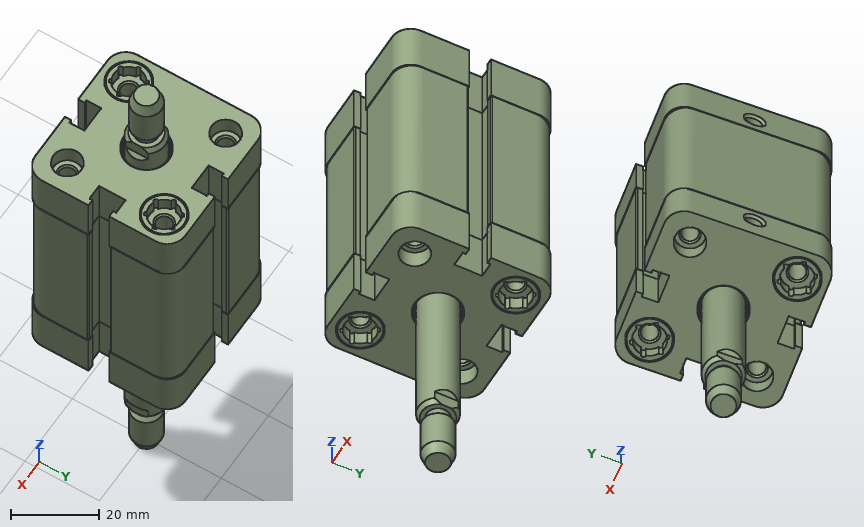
import cadquery as cq
import math


CAP_WIDTH = 40.3
BARREL_WIDTH = 40.0
BODY_HEIGHT = 68.9
CAP_HEIGHT = 12.5
BARREL_HEIGHT = BODY_HEIGHT - 2 * CAP_HEIGHT
CAP_CORNER_RADIUS = 4.9
BARREL_CORNER_RADIUS = 5.3

SLOT_DEPTH = 5.7
SLOT_LIP = 1.7
SLOT_INNER_WIDTH = 7.2
CAP_SLOT_MOUTH = 5.6
BARREL_SLOT_MOUTH = 5.7
BARREL_MOUTH_CHAMFER = 0.36
SLOT_DIRECTIONS = (0, 90, -90)

ROD_DIAMETER = 10.0
ROD_TOP_LENGTH = 22.0
ROD_BOTTOM_LENGTH = 52.0
THREAD_DIAMETER = 8.0
NECK_DIAMETER = 5.9
TIP_CHAMFER_LENGTH = 2.9
THREAD_END = 12.6
NECK_END = 15.5
SHOULDER_CHAMFER_LENGTH = 1.3
SHOULDER_CHAMFER_WIDTH = 0.9
FLAT_END = 18.9
FLATS_ACROSS = 8.0

ROD_RECESS_DIAMETER = 11.5
ROD_RECESS_RIM = 12.0
ROD_RECESS_DEPTH = 1.5
ROD_SEAT_DIAMETER = 10.5
ROD_SEAT_RIM = 10.9
ROD_SEAT_DEPTH = 1.5

CORNER_OFFSET = 13.0
CORE_DIAMETER = 4.1
CORE_RIM = 5.0
COUNTERBORE_DIAMETER = 7.5
COUNTERBORE_DEPTH = 4.7

HEAD_DIAMETER = 10.5
HEAD_POCKET_DIAMETER = 11.2
HEAD_GROOVE_DEPTH = 1.5
SOCKET_DIAMETER = 8.0
SOCKET_DEPTH = 3.6
LOBE_COUNT = 6
LOBE_DIAMETER = 1.1

PORT_DIAMETER = 4.1
PORT_RIM = 5.5
PORT_DEPTH = 10.0
PORT_FROM_END = 7.5


def cylinder(diameter, height, x=0, y=0, z=0):
    return cq.Workplane("XY", origin=(x, y, z)).circle(diameter / 2).extrude(height)


def countersunk_hole(diameter, rim, depth):
    """Cutter going down from the origin, with a 45 degree countersink at its mouth."""
    sink = (rim - diameter) / 2
    outline = [
        (0, 0),
        (rim / 2, 0),
        (diameter / 2, -sink),
        (diameter / 2, -depth),
        (0, -depth),
    ]
    return cq.Workplane("XZ").polyline(outline).close().revolve(360, (0, 0), (0, 1))


def slotted_block(width, height, corner_radius, mouth_width):
    """Square block with rounded upright edges and a T-slot in its +X, +Y and -Y faces."""
    block = cq.Workplane("XY").rect(width, width).extrude(height)
    block = block.edges("|Z").fillet(corner_radius)
    face = CAP_WIDTH / 2
    inner_depth = SLOT_DEPTH - SLOT_LIP
    mouth = cq.Workplane("XY").center(face - SLOT_DEPTH / 2, 0).rect(SLOT_DEPTH, mouth_width)
    inner = cq.Workplane("XY").center(face - SLOT_DEPTH + inner_depth / 2, 0)
    slot = mouth.extrude(height).union(inner.rect(inner_depth, SLOT_INNER_WIDTH).extrude(height))
    for angle in SLOT_DIRECTIONS:
        block = block.cut(slot.rotate((0, 0, 0), (0, 0, 1), angle))
    return block


def plain_corner_cutter():
    """Counterbored corner hole, its mouth at the origin."""
    core = countersunk_hole(CORE_DIAMETER, CORE_RIM, CAP_HEIGHT - COUNTERBORE_DEPTH)
    counterbore = cylinder(COUNTERBORE_DIAMETER, -COUNTERBORE_DEPTH)
    return counterbore.union(core.translate((0, 0, -COUNTERBORE_DEPTH)))


def collar_corner_cutter():
    """Groove around a collar head, its lobed socket and the hole below, the mouth at the origin."""
    groove = cylinder(HEAD_POCKET_DIAMETER, -HEAD_GROOVE_DEPTH)
    groove = groove.cut(cylinder(HEAD_DIAMETER, -HEAD_GROOVE_DEPTH))
    socket = cylinder(SOCKET_DIAMETER, -SOCKET_DEPTH)
    for i in range(LOBE_COUNT):
        angle = 2 * math.pi * i / LOBE_COUNT
        x = SOCKET_DIAMETER / 2 * math.cos(angle)
        y = SOCKET_DIAMETER / 2 * math.sin(angle)
        socket = socket.union(cylinder(LOBE_DIAMETER, -SOCKET_DEPTH, x, y))
    core = countersunk_hole(CORE_DIAMETER, CORE_RIM, CAP_HEIGHT - SOCKET_DEPTH)
    return groove.union(socket).union(core.translate((0, 0, -SOCKET_DEPTH)))


def make_cap():
    """End cap standing on z = 0 with its outer face up."""
    cap = slotted_block(CAP_WIDTH, CAP_HEIGHT, CAP_CORNER_RADIUS, CAP_SLOT_MOUTH)

    cap = cap.cut(cylinder(ROD_DIAMETER, CAP_HEIGHT))
    recess = countersunk_hole(ROD_RECESS_DIAMETER, ROD_RECESS_RIM, ROD_RECESS_DEPTH)
    cap = cap.cut(recess.translate((0, 0, CAP_HEIGHT)))
    seat = countersunk_hole(ROD_SEAT_DIAMETER, ROD_SEAT_RIM, ROD_SEAT_DEPTH)
    cap = cap.cut(seat.translate((0, 0, CAP_HEIGHT - ROD_RECESS_DEPTH)))

    for side in (-1, 1):
        x = side * CORNER_OFFSET
        cap = cap.cut(collar_corner_cutter().translate((x, x, CAP_HEIGHT)))
        cap = cap.cut(plain_corner_cutter().translate((x, -x, CAP_HEIGHT)))

    port = countersunk_hole(PORT_DIAMETER, PORT_RIM, PORT_DEPTH)
    port = port.rotate((0, 0, 0), (0, 1, 0), -90)
    return cap.cut(port.translate((-CAP_WIDTH / 2, 0, CAP_HEIGHT - PORT_FROM_END)))


def make_barrel():
    barrel = slotted_block(BARREL_WIDTH, BARREL_HEIGHT, BARREL_CORNER_RADIUS, BARREL_SLOT_MOUTH)
    barrel = barrel.cut(cylinder(ROD_DIAMETER, BARREL_HEIGHT))

    face = BARREL_WIDTH / 2
    half_mouth = BARREL_SLOT_MOUTH / 2
    wedge_outline = [
        (face - BARREL_MOUTH_CHAMFER, half_mouth),
        (face, half_mouth + BARREL_MOUTH_CHAMFER),
        (face, -half_mouth - BARREL_MOUTH_CHAMFER),
        (face - BARREL_MOUTH_CHAMFER, -half_mouth),
    ]
    wedge = cq.Workplane("XY").polyline(wedge_outline).close().extrude(BARREL_HEIGHT)
    for angle in SLOT_DIRECTIONS:
        barrel = barrel.cut(wedge.rotate((0, 0, 0), (0, 0, 1), angle))
    return barrel.translate((0, 0, CAP_HEIGHT))


def rod_half(length):
    """Rod from z = 0 up to a threaded tip at z = length, with two flats below the shoulder."""
    rod_radius = ROD_DIAMETER / 2
    thread_radius = THREAD_DIAMETER / 2
    neck_radius = NECK_DIAMETER / 2
    thread_chamfer = thread_radius - neck_radius
    outline = [
        (0, 0),
        (rod_radius, 0),
        (rod_radius, length - NECK_END - SHOULDER_CHAMFER_LENGTH),
        (rod_radius - SHOULDER_CHAMFER_WIDTH, length - NECK_END),
        (neck_radius, length - NECK_END),
        (neck_radius, length - THREAD_END - thread_chamfer),
        (thread_radius, length - THREAD_END),
        (thread_radius, length - TIP_CHAMFER_LENGTH),
        (neck_radius, length),
        (0, length),
    ]
    rod = cq.Workplane("XZ").polyline(outline).close().revolve(360, (0, 0), (0, 1))

    flat = FLATS_ACROSS / 2
    flat_depth = rod_radius - flat
    flat_outline = [
        (flat, length - NECK_END),
        (flat, length - FLAT_END),
        (rod_radius, length - FLAT_END - flat_depth),
        (rod_radius, length - NECK_END),
    ]
    cutter = cq.Workplane("XZ").polyline(flat_outline).close().extrude(rod_radius, both=True)
    return rod.cut(cutter).cut(cutter.mirror("YZ"))


def make_rod():
    upper = rod_half(BODY_HEIGHT + ROD_TOP_LENGTH)
    lower = rod_half(ROD_BOTTOM_LENGTH).mirror("XY")
    return upper.union(lower)


cap = make_cap()
top_cap = cap.translate((0, 0, BODY_HEIGHT - CAP_HEIGHT))
bottom_cap = cap.mirror("XY").translate((0, 0, CAP_HEIGHT))
barrel = make_barrel()
rod = make_rod()

result = cq.Compound.makeCompound([top_cap.val(), bottom_cap.val(), barrel.val(), rod.val()])